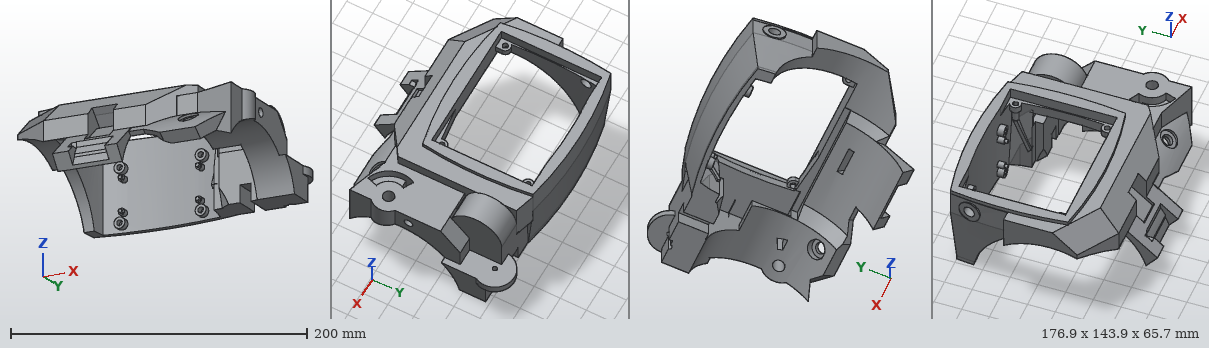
import cadquery as cq
import math


TOP_Z = 65.72
DECK_Z = 62.8
BODY_LOW_Z = 33.0
BLOCK_TOP_Z = 54.6
BASE_TOP_Z = 24.0
PAST = 5.0

ARM_Y = -32.5
ARM_Z = -11.5
ARM_R_LEFT = 59.3
ARM_R_MIDDLE = 55.3
ARM_R_RIGHT = 49.0
LEFT_STEP_X = (-27.0, -19.2)
RIGHT_STEP_X = (50.0, 60.0)

FRAME_CORNER = (55.1, 42.5)
FRAME_BULGE = (58.0, 48.4)
SKIRT_BULGE = (58.5, 48.4)
SKIRT_TOP_Z = 45.0
SKIRT_FOOT_Z = 3.0
SKIRT_FOOT_CORNER = (53.8, 38.4)
SKIRT_FOOT_BULGE = (56.0, 44.2)
WINDOW = (98.6, 77.0)
LEDGE_Z = 57.7
CAVITY_REAR_CORNER = (46.0, 36.5)
CAVITY_FRONT_CORNER = (47.0, -34.8)
CAVITY_BULGE = (48.6, 40.1)

BODY_LEFT_X = -65.7
BODY_RIGHT_X = 70.3
BODY_FRONT_Y = -72.2
BODY_BEVEL = 15.0

BLOCK_RIGHT_X = 104.6
BLOCK_FRONT_Y = -61.2
BLOCK_BACK_Y = -1.8
BASE_RIGHT_X = 109.3
DRUM_RIGHT_X = 91.3
DRUM_R = 19.85
DRUM_Y = BLOCK_BACK_Y + DRUM_R
DRUM_Z = TOP_Z - DRUM_R
SHOULDER_BACK_Y = 13.3
SHOULDER_DROP = SHOULDER_BACK_Y - BLOCK_BACK_Y + 1.0
DISC_CENTER = (96.3, 35.4)
DISC_R = 14.92
DISC_THICKNESS = 6.0
DISC_HOLE_D = 3.4
PIVOT = (96.7, -46.0)
PIVOT_R = 12.1
PIVOT_HOLE_D = 8.3

CLIP_LEFT_X = -19.2
CLIP_RIGHT_X = 29.4
CLIP_TIP = (-93.63, 15.3)
CLIP_HEEL = (-85.3, 4.9)
CLIP_ROOT = (-60.0, 43.1)

FRONT_POCKET_Y = -43.1
SCREW_HOLE_D = 4.0
SCREW_BOSS_D = 8.2
MOUNT_X, MOUNT_Y = 45.0, 33.1
MOUNT_LOW_Z = LEDGE_Z - 5.0
SIDE_PORT_D = 8.2
SIDE_PORT_PAD_D = 16.0
SIDE_PORT = (27.8, 52.9)


def box(x0, x1, y0, y1, z0, z1):
    """Box given by its limits along each axis."""
    return cq.Workplane("XY").box(x1 - x0, y1 - y0, z1 - z0, centered=False).translate((x0, y0, z0))


def prism_z(points, z0, z1):
    """Outline in X and Y, extruded along Z."""
    return cq.Workplane("XY").workplane(offset=z0).polyline(points).close().extrude(z1 - z0)


def prism_x(points, x0, x1):
    """Outline in Y and Z, extruded along X."""
    return cq.Workplane("YZ").workplane(offset=x0).polyline(points).close().extrude(x1 - x0)


def rod_x(diameter, y, z, x0, x1):
    return cq.Workplane("YZ").workplane(offset=x0).center(y, z).circle(diameter / 2).extrude(x1 - x0)


def rod_z(diameter, center, z0, z1):
    return cq.Workplane("XY").workplane(offset=z0).center(*center).circle(diameter / 2).extrude(z1 - z0)


def bowed_outline(work, corner, bulge):
    """Rectangle whose four sides are shallow arcs."""
    cx, cy = corner
    bx, by = bulge
    work = work.moveTo(-cx, cy).threePointArc((0, by), (cx, cy)).threePointArc((bx, 0), (cx, -cy))
    return work.threePointArc((0, -by), (-cx, -cy)).threePointArc((-bx, 0), (-cx, cy)).close()


def arm_direction(angle):
    """Unit vector in Y and Z, square to the arm axis, tipped forward from vertical."""
    return (-math.sin(math.radians(angle)), math.cos(math.radians(angle)))


def arm_angle(y):
    """Angle from vertical of a point at this Y on the outer arm radius."""
    return math.degrees(math.asin((ARM_Y - y) / ARM_R_LEFT))


def frame_and_skirt():
    frame = bowed_outline(cq.Workplane("XY").workplane(offset=DECK_Z), FRAME_CORNER, FRAME_BULGE)
    frame = frame.extrude(TOP_Z - DECK_Z)
    upper = bowed_outline(cq.Workplane("XY").workplane(offset=SKIRT_TOP_Z), FRAME_CORNER, SKIRT_BULGE)
    upper = upper.extrude(DECK_Z - SKIRT_TOP_Z)
    taper = cq.Workplane("XY").workplane(offset=SKIRT_FOOT_Z)
    taper = bowed_outline(taper, SKIRT_FOOT_CORNER, SKIRT_FOOT_BULGE)
    taper = bowed_outline(taper.workplane(offset=SKIRT_TOP_Z - SKIRT_FOOT_Z), FRAME_CORNER, SKIRT_BULGE)
    taper = taper.loft(ruled=True)
    foot = bowed_outline(cq.Workplane("XY"), SKIRT_FOOT_CORNER, SKIRT_FOOT_BULGE).extrude(SKIRT_FOOT_Z)
    return frame.union(upper).union(taper).union(foot)


def main_body():
    left_shoulder = (BODY_LEFT_X, -53.1)
    left_front = (-36.5, BODY_FRONT_Y)
    right_front = (40.4, BODY_FRONT_Y)
    outline = [
        (BODY_LEFT_X, 0), left_shoulder, left_front, right_front,
        (BODY_RIGHT_X, -53.1), (BODY_RIGHT_X, 37.9), FRAME_CORNER, (FRAME_CORNER[0], 0),
    ]
    body = prism_z(outline, BODY_LOW_Z, DECK_Z)
    margin = 1.0
    bevelled = cq.selectors.BoxSelector(
        (BODY_LEFT_X, BODY_FRONT_Y - margin, DECK_Z - margin),
        (right_front[0], left_shoulder[1], DECK_Z + margin),
    )
    return body.edges(bevelled).chamfer(BODY_BEVEL)


def side_block():
    nose_x = 74.2
    inner_x = 58.3
    low_z = 10.0
    outline = [
        (inner_x, BLOCK_FRONT_Y), (nose_x, BLOCK_FRONT_Y), (BLOCK_RIGHT_X, -71.7),
        (BLOCK_RIGHT_X, BLOCK_BACK_Y), (inner_x, BLOCK_BACK_Y),
    ]
    block = prism_z(outline, low_z, BLOCK_TOP_Z)
    shoulder = prism_x(
        [
            (BLOCK_BACK_Y, low_z), (BLOCK_BACK_Y, BLOCK_TOP_Z),
            (SHOULDER_BACK_Y, BLOCK_TOP_Z - SHOULDER_DROP), (SHOULDER_BACK_Y, low_z),
        ],
        DRUM_RIGHT_X, BLOCK_RIGHT_X,
    )
    pivot_boss = rod_z(2 * PIVOT_R, PIVOT, low_z, BLOCK_TOP_Z)
    return block.union(shoulder).union(pivot_boss)


def base_and_drum():
    inner_x = 44.5
    front_y = -10.0
    base = box(inner_x, BASE_RIGHT_X, front_y, DISC_CENTER[1], 0, BASE_TOP_Z)
    disc = rod_z(2 * DISC_R, DISC_CENTER, BASE_TOP_Z - DISC_THICKNESS, BASE_TOP_Z)
    drum = rod_x(2 * DRUM_R, DRUM_Y, DRUM_Z, BODY_RIGHT_X, DRUM_RIGHT_X)
    drum_foot = box(inner_x, DRUM_RIGHT_X, BLOCK_BACK_Y, DRUM_Y + DRUM_R, 0, DRUM_Z)
    return base.union(disc).union(drum_foot).union(drum)


def guard_shell():
    """Curved plate around the front of the arm; its outline is drawn square to the lower edge."""
    edge_y = -80.5
    left_edge_y = -75.7
    upper_y = -55.0
    left_x = CLIP_RIGHT_X - PAST
    tip = (99.5, -70.0)
    lower = arm_angle(edge_y)

    def on_outline(x, y):
        return (x, ARM_R_LEFT * math.sin(math.radians(lower - arm_angle(y))))

    outline = [
        on_outline(left_x, upper_y), on_outline(left_x, left_edge_y),
        on_outline(40.4, left_edge_y), on_outline(55.3, edge_y), on_outline(81.9, edge_y),
        on_outline(*tip), on_outline(tip[0], upper_y),
    ]
    dy, dz = arm_direction(lower)
    plane = cq.Plane(origin=(0, ARM_Y, ARM_Z), xDir=(1, 0, 0), normal=(0, dy, dz))
    plate = cq.Workplane(plane).polyline(outline).close().extrude(ARM_R_LEFT + PAST)
    return plate.intersect(rod_x(2 * ARM_R_LEFT, ARM_Y, ARM_Z, 0, BLOCK_RIGHT_X))


def clip():
    """Wedge-shaped plate; the arm tunnel later curves its underside."""
    inside_tunnel = (-60.0, 20.0)
    return prism_x([CLIP_ROOT, CLIP_TIP, CLIP_HEEL, inside_tunnel], CLIP_LEFT_X, CLIP_RIGHT_X)


def arm_tunnel():
    left_x = BODY_LEFT_X - PAST
    right_x = BASE_RIGHT_X + PAST
    profile = [
        (left_x, 0), (left_x, ARM_R_LEFT), (LEFT_STEP_X[0], ARM_R_LEFT),
        (LEFT_STEP_X[1], ARM_R_MIDDLE), (RIGHT_STEP_X[0], ARM_R_MIDDLE),
        (RIGHT_STEP_X[1], ARM_R_RIGHT), (right_x, ARM_R_RIGHT), (right_x, 0),
    ]
    tunnel = cq.Workplane("XY").polyline(profile).close().revolve(360, (0, 0, 0), (1, 0, 0))
    return tunnel.translate((0, ARM_Y, ARM_Z))


def display_cavity():
    """Stepped opening: a rectangular window over a cavity with bowed sides."""
    half_x, half_y = WINDOW[0] / 2, WINDOW[1] / 2
    window = box(-half_x, half_x, -half_y, half_y, LEDGE_Z, TOP_Z + PAST)
    rear_x, rear_y = CAVITY_REAR_CORNER
    front_x, front_y = CAVITY_FRONT_CORNER
    bulge_x, bulge_y = CAVITY_BULGE
    ledge_start_x = 16.0
    cavity = cq.Workplane("XY").workplane(offset=-PAST).moveTo(-rear_x, rear_y)
    cavity = cavity.threePointArc((0, bulge_y), (rear_x, rear_y))
    cavity = cavity.threePointArc((bulge_x, 0), (front_x, front_y))
    cavity = cavity.lineTo(ledge_start_x, -half_y).lineTo(-front_x, -half_y)
    cavity = cavity.threePointArc((-bulge_x, 0), (-rear_x, rear_y)).close().extrude(TOP_Z + 2 * PAST)
    return cavity.union(window)


def side_compartment():
    """Hollow of the side block, open to the display cavity and partly to the arm tunnel."""
    left_x = 45.0
    right_x = 81.0
    step_x = 52.0
    roof_z = 50.0
    shelf_z = 37.6
    floor_z = 39.0
    shelf_front_y = 15.6
    shelf_back_y = 24.0
    step_back_y = 21.5
    middle_y = -9.4
    front_y = -WINDOW[1] / 2
    open_part = box(left_x, right_x, middle_y, shelf_front_y, -PAST, roof_z)
    floored_part = box(left_x, right_x, front_y, middle_y, floor_z, roof_z)
    over_shelf = box(left_x, right_x, middle_y, shelf_back_y, shelf_z, roof_z)
    entry_step = box(left_x, step_x, middle_y, step_back_y, -PAST, shelf_z)
    return open_part.union(floored_part).union(over_shelf).union(entry_step)


def front_pocket():
    """Hollow under the front ledge that squares off the stepped arm tunnel."""
    back_y = -9.4
    tunnel_top_z = ARM_Z + ARM_R_LEFT
    return box(LEFT_STEP_X[0], RIGHT_STEP_X[1], FRONT_POCKET_Y, back_y, 0, tunnel_top_z)


def block_openings():
    far_y = DISC_CENTER[1] + DISC_R
    notch_left_x, notch_right_x = 67.8, 76.0
    notch_top_z = 12.7
    cross_hole_d = 6.5
    cross_hole_y, cross_hole_z = -26.5, 46.2
    cross_hole_start_x = 75.0
    cable_notch = box(notch_left_x, notch_right_x, 0, far_y, -PAST, notch_top_z)
    cross_hole = rod_x(cross_hole_d, cross_hole_y, cross_hole_z, cross_hole_start_x, BASE_RIGHT_X)
    pivot_hole = rod_z(PIVOT_HOLE_D, PIVOT, 0, TOP_Z)
    disc_hole = rod_z(DISC_HOLE_D, DISC_CENTER, -PAST, BASE_TOP_Z + PAST)
    return cable_notch.union(cross_hole).union(pivot_hole).union(disc_hole)


def curved_slot():
    """Arc slot around the pivot: a shallow groove with one end cut right through."""
    inner_r, outer_r = 12.0, 20.2
    start, end = 152, 252
    middle = (start + end) / 2
    groove_floor_z = 48.0
    through_y = -43.5

    def at(radius, angle):
        turn = math.radians(angle)
        return (PIVOT[0] + radius * math.cos(turn), PIVOT[1] + radius * math.sin(turn))

    slot = cq.Workplane("XY").moveTo(*at(inner_r, start)).lineTo(*at(outer_r, start))
    slot = slot.threePointArc(at(outer_r, middle), at(outer_r, end)).lineTo(*at(inner_r, end))
    slot = slot.threePointArc(at(inner_r, middle), at(inner_r, start)).close().extrude(TOP_Z)
    groove_zone = box(0, BASE_RIGHT_X, BODY_FRONT_Y, 0, groove_floor_z, TOP_Z)
    through_zone = box(0, BASE_RIGHT_X, through_y, 0, 0, TOP_Z)
    return slot.intersect(groove_zone.union(through_zone))


def shell_hole():
    """Hole pointing at the arm axis, counterbored from outside and relieved from inside."""
    bore_d, counterbore_d = 8.2, 14.0
    counterbore_depth = 2.0
    web = 3.0
    center_x, center_y = 70.6, -68.3
    start_r = ARM_R_RIGHT - PAST
    length = ARM_R_LEFT - start_r
    dy, dz = arm_direction(arm_angle(center_y))
    plane = cq.Plane(
        origin=(center_x, ARM_Y + dy * start_r, ARM_Z + dz * start_r), xDir=(1, 0, 0), normal=(0, dy, dz)
    )
    bore = cq.Workplane(plane).circle(bore_d / 2).extrude(length + PAST)
    relief = cq.Workplane(plane).circle(counterbore_d / 2).extrude(length - counterbore_depth - web)
    counterbore = cq.Workplane(plane).workplane(offset=length - counterbore_depth)
    counterbore = counterbore.circle(counterbore_d / 2).extrude(counterbore_depth + PAST)
    return bore.union(relief).union(counterbore)


def clip_channel():
    """Sloping channel through the front bevel, running on through a slit into the arm tunnel."""
    floor_front = (-76.7, 26.5)
    floor_end = (-59.0, 41.1)
    slit_low_front = (-55.0, 37.0)
    slit_low_back = (-52.0, 39.5)
    slit_top = (-62.0, 49.5)
    roof_front = (-66.5, 53.5)
    outside_top = (-85.0, 60.0)
    outside_low = (-85.0, 36.5)
    step_top = (-78.2, 28.3)
    left_x, right_x = -2.9, 16.1
    return prism_x(
        [
            floor_front, floor_end, slit_low_front, slit_low_back, slit_top,
            roof_front, outside_top, outside_low, step_top,
        ],
        left_x, right_x,
    )


def clip_slot():
    """Open slot in the clip that leaves a thin curved skin, thinner at the tip, next to the arm."""
    left_x, right_x = -7.2, 20.2
    back_y = -81.0
    front_y = CLIP_TIP[0] - PAST
    slot_top_z = 30.0
    thick_skin_r, thin_skin_r = 58.8, 57.8
    step_y = -84.5
    step_top_z, step_low_z = 16.2, 13.9
    whole = box(left_x, right_x, front_y, back_y, 0, slot_top_z)
    thick_cut = whole.cut(rod_x(2 * thick_skin_r, ARM_Y, ARM_Z, left_x, right_x))
    step_cut = box(left_x, right_x, front_y, step_y, step_low_z, step_top_z)
    tip_zone = box(left_x, right_x, front_y, step_y, 0, step_low_z)
    thin_cut = tip_zone.cut(rod_x(2 * thin_skin_r, ARM_Y, ARM_Z, left_x, right_x))
    notch_left_x = -10.9
    notch_front_y, notch_back_y = -86.6, -81.6
    notch_low_z = 20.7
    side_notch = box(notch_left_x, left_x, notch_front_y, notch_back_y, notch_low_z, slot_top_z)
    return thick_cut.union(step_cut).union(thin_cut).union(side_notch)


def display_mounts():
    """Three screw bosses in the corners of the ledge."""
    front_reach = SCREW_BOSS_D / 2
    wall_x, wall_y = 48.5, 39.0
    mounts = []
    for side_x, side_y, reach in ((-1, -1, front_reach), (1, -1, front_reach), (1, 1, 0)):
        center = (side_x * MOUNT_X, side_y * MOUNT_Y)
        boss = rod_z(SCREW_BOSS_D, center, MOUNT_LOW_Z, LEDGE_Z)
        x_limits = sorted((side_x * (MOUNT_X - reach), side_x * wall_x))
        y_limits = sorted((center[1], side_y * wall_y))
        gusset = box(*x_limits, *y_limits, MOUNT_LOW_Z, LEDGE_Z)
        hole = rod_z(SCREW_HOLE_D, center, MOUNT_LOW_Z - PAST, TOP_Z)
        mounts.append(boss.union(gusset).cut(hole))
    return mounts


def rear_corner_support():
    """Post and slanted brace under the rear boss, with a tapered fill in the cavity corner."""
    post_d, post_low_z = 4.75, 43.0
    brace_foot = (21.4, 18.3)
    brace_low = (23.5, 16.0)
    brace_half = 1.5
    post = rod_z(post_d, (MOUNT_X, MOUNT_Y), post_low_z, MOUNT_LOW_Z)
    brace = prism_x(
        [
            (MOUNT_Y + brace_half, post_low_z), (MOUNT_Y - brace_half, post_low_z),
            brace_foot, brace_low,
        ],
        43.4, 47.6,
    )
    foot_x, top_x, wall_x = 42.4, 47.5, 48.0
    back_y, front_y = 38.0, 21.5
    fill = prism_z(
        [
            (foot_x, back_y), (foot_x, 36.5), (44.3, 29.5),
            (45.2, front_y), (wall_x, front_y), (wall_x, back_y),
        ],
        0, MOUNT_LOW_Z,
    )
    taper = cq.Workplane("XZ").polyline(
        [(foot_x, 0), (wall_x, 0), (wall_x, MOUNT_LOW_Z), (top_x, MOUNT_LOW_Z)]
    )
    fill = fill.intersect(taper.close().extrude(-back_y))
    return post.union(brace).union(fill)


def rear_wall_mounts():
    """Two pairs of hollow bosses, each beside a stepped pin, on the inside of the rear wall."""
    sleeve_d, pin_d = 4.75, 2.75
    boss_end_y, pin_end_y = 34.1, 31.9
    wall_y = 40.5
    middle_z = 26.0
    boss_rise, pin_rise = 19.7, 12.0

    def rod_y(diameter, x, z, y0):
        plane = cq.Workplane("XZ").workplane(offset=-wall_y).center(x, z)
        return plane.circle(diameter / 2).extrude(wall_y - y0)

    mounts = []
    for boss_x, pin_x in ((-32.4, -30.9), (28.9, 27.4)):
        for side in (-1, 1):
            boss_z = middle_z + side * boss_rise
            pin_z = middle_z + side * pin_rise
            boss = rod_y(SCREW_BOSS_D, boss_x, boss_z, boss_end_y)
            boss = boss.cut(rod_y(SCREW_HOLE_D, boss_x, boss_z, boss_end_y))
            pin = rod_y(sleeve_d, pin_x, pin_z, boss_end_y)
            pin = pin.union(rod_y(pin_d, pin_x, pin_z, pin_end_y))
            mounts += [boss, pin]
    return mounts


def side_port_pad():
    """Round pad on the left side, its face tilted toward the rear."""
    face_front = (-59.4, 19.8)
    face_rear = (-56.5, 35.8)
    inner_x, outer_x = -54.0, -62.0
    pad = rod_x(SIDE_PORT_PAD_D, *SIDE_PORT, outer_x, inner_x)
    outside = prism_z([face_front, face_rear, (outer_x, face_rear[1]), (outer_x, face_front[1])], 0, TOP_Z)
    return pad.cut(outside)


def side_port_hole():
    return rod_x(SIDE_PORT_D, *SIDE_PORT, BODY_LEFT_X, 0)


part = frame_and_skirt()
for piece in (main_body(), side_block(), base_and_drum(), guard_shell(), clip(), side_port_pad()):
    part = part.union(piece)
openings = [
    arm_tunnel(), display_cavity(), side_compartment(), front_pocket(), block_openings(),
    curved_slot(), shell_hole(), clip_channel(), clip_slot(), side_port_hole(),
]
for opening in openings:
    part = part.cut(opening)
for mount in display_mounts() + rear_wall_mounts():
    part = part.union(mount)
result = part.union(rear_corner_support())